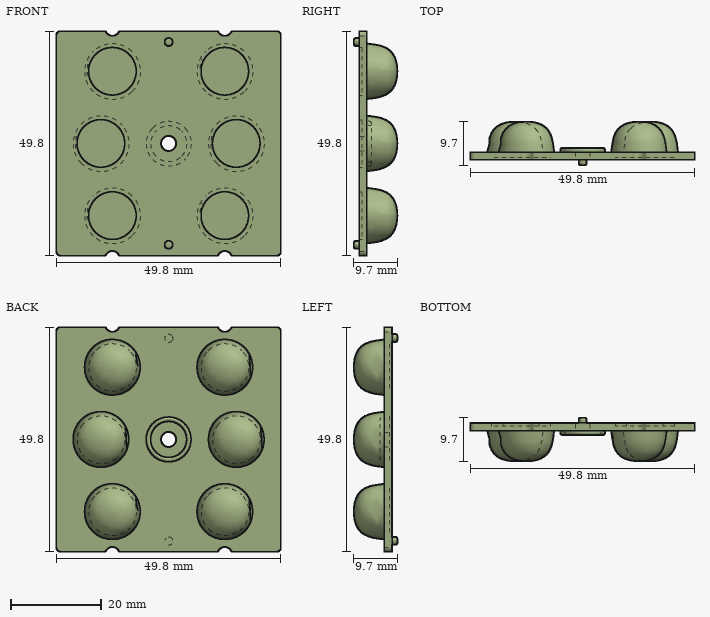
import cadquery as cq
import math

plate_size = 49.8
plate_thickness = 1.75
corner_radius = 1.0
centre_hole_diameter = 3.3

notch_spacing = 24.9
notch_radius = 1.6
notch_depth = 1.05
notch_mouth_radius = 0.4

row_pitch = 16.0
outer_row_spacing = 24.9
middle_row_spacing = 30.0
dome_base_radius = 6.2
dome_height = 6.75
dome_shoulder_radius = 4.9
dome_shoulder_height = 4.8
dome_base_direction = (-0.1, 1)
dome_crown_direction = (-1, 0)
recess_diameter = 10.55
recess_depth = 0.6

ring_outer_diameter = 9.95
ring_wall = 1.0
ring_height = 0.95

pin_spacing = 44.9
pin_diameter = 1.8
pin_length = 1.2
pin_tip_radius = 0.5

half_size = plate_size / 2
dome_centres = [
    (side * spacing / 2, row * row_pitch)
    for row, spacing in ((-1, outer_row_spacing), (0, middle_row_spacing), (1, outer_row_spacing))
    for side in (-1, 1)
]


def back_plane(y=0.0):
    """Plane parallel to the plate with local (x, y) = (X, Z) and its normal along -Y."""
    return cq.Workplane("XZ", origin=(0, y, 0))


def make_plate():
    plate = back_plane().rect(plate_size, plate_size).extrude(plate_thickness)
    plate = plate.edges("|Y").fillet(corner_radius)
    notch_offset = half_size - notch_depth + notch_radius
    notch_centres = [
        (side * notch_spacing / 2, end * notch_offset) for side in (-1, 1) for end in (-1, 1)
    ]
    notches = back_plane().pushPoints(notch_centres).circle(notch_radius).extrude(plate_thickness)
    plate = plate.cut(notches)
    for x, z in notch_centres:
        edge_z = math.copysign(half_size, z)
        mouth = cq.selectors.BoxSelector(
            (x - 2 * notch_radius, -plate_thickness, edge_z - notch_depth / 2),
            (x + 2 * notch_radius, 0, edge_z + notch_depth / 2),
        )
        plate = plate.edges("|Y").edges(mouth).fillet(notch_mouth_radius)
    return plate


def make_dome(x, z):
    """Dome of revolution about Y: one smooth curve from the base circle over the shoulder to the crown."""
    profile = (
        cq.Workplane("XY")
        .lineTo(dome_base_radius, 0)
        .spline(
            [(dome_shoulder_radius, dome_shoulder_height), (0, dome_height)],
            tangents=[dome_base_direction, dome_crown_direction],
            includeCurrent=True,
        )
        .close()
    )
    return profile.revolve(360, (0, 0), (0, 1)).translate((x, 0, z))


def make_ring():
    outer_radius = ring_outer_diameter / 2
    inner_radius = outer_radius - ring_wall
    rim_start = ring_height - ring_wall / 2
    profile = (
        cq.Workplane("XY")
        .moveTo(inner_radius, 0)
        .lineTo(outer_radius, 0)
        .lineTo(outer_radius, rim_start)
        .threePointArc((outer_radius - ring_wall / 2, ring_height), (inner_radius, rim_start))
        .close()
    )
    return profile.revolve(360, (0, 0), (0, 1))


def make_pins():
    pins = (
        back_plane(-plate_thickness)
        .pushPoints([(0, -pin_spacing / 2), (0, pin_spacing / 2)])
        .circle(pin_diameter / 2)
        .extrude(pin_length)
    )
    return pins.faces("<Y").edges().fillet(pin_tip_radius)


def make_recesses():
    return (
        back_plane(-plate_thickness + recess_depth)
        .pushPoints(dome_centres)
        .circle(recess_diameter / 2)
        .extrude(recess_depth)
    )


def make_centre_hole():
    return back_plane().circle(centre_hole_diameter / 2).extrude(plate_thickness)


result = make_plate().union(make_ring()).union(make_pins())
for dome_x, dome_z in dome_centres:
    result = result.union(make_dome(dome_x, dome_z))
result = result.cut(make_recesses()).cut(make_centre_hole())